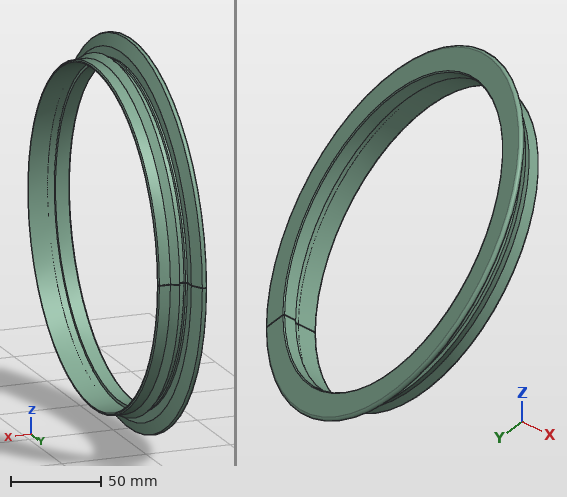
import cadquery as cq

outer_radius = 112.5
total_width = 24.0
joint_x = 8.5
split_gap = 0.5

flange_bore_radius = 96.0
flange_bore_chamfer = 0.7
rim_front_radius = 111.0
rim_crest_x = 1.8
rim_back_radius = 112.0
rim_width = 3.0
flange_width = 6.8
flange_back_radius = 105.0
hub_radius = 99.2
hub_chamfer = 0.7

sleeve_bore_radius = 97.9
groove_radius = hub_radius - hub_chamfer
rib_start_x = 12.4
rib_end_x = 16.9
rib_radius = 102.0
sleeve_radius = 99.2
end_chamfer = 0.7


def revolve_about_x(profile):
    """Turn a closed (x, radius) profile into a ring around the X axis."""
    return profile.close().revolve(360, (0, 0, 0), (1, 0, 0))


def split_ring(ring):
    """Cut the ring open with a narrow radial slit on the +Y side."""
    slit = cq.Workplane("XY").box(
        total_width, outer_radius, split_gap, centered=(False, False, True)
    )
    return ring.cut(slit)


def make_flange_ring():
    """Wide flange with a rounded rim, a conical back and a short chamfered hub."""
    profile = (
        cq.Workplane("XY")
        .moveTo(0, flange_bore_radius + flange_bore_chamfer)
        .lineTo(0, rim_front_radius)
        .threePointArc((rim_crest_x, outer_radius), (rim_width, rim_back_radius))
        .lineTo(flange_width, flange_back_radius)
        .lineTo(flange_width, hub_radius)
        .lineTo(joint_x - hub_chamfer, hub_radius)
        .lineTo(joint_x, hub_radius - hub_chamfer)
        .lineTo(joint_x, flange_bore_radius)
        .lineTo(flange_bore_chamfer, flange_bore_radius)
    )
    return split_ring(revolve_about_x(profile))


def make_sleeve_ring():
    """Sleeve with a sawtooth rib and a chamfered free end."""
    profile = (
        cq.Workplane("XY")
        .moveTo(joint_x, sleeve_bore_radius)
        .lineTo(joint_x, groove_radius)
        .lineTo(rib_start_x, groove_radius)
        .lineTo(rib_start_x, rib_radius)
        .lineTo(rib_end_x, sleeve_radius)
        .lineTo(total_width - end_chamfer, sleeve_radius)
        .lineTo(total_width, sleeve_radius - end_chamfer)
        .lineTo(total_width, sleeve_bore_radius)
    )
    return split_ring(revolve_about_x(profile))


flange_ring = make_flange_ring()
sleeve_ring = make_sleeve_ring()
result = cq.Compound.makeCompound([flange_ring.val(), sleeve_ring.val()])